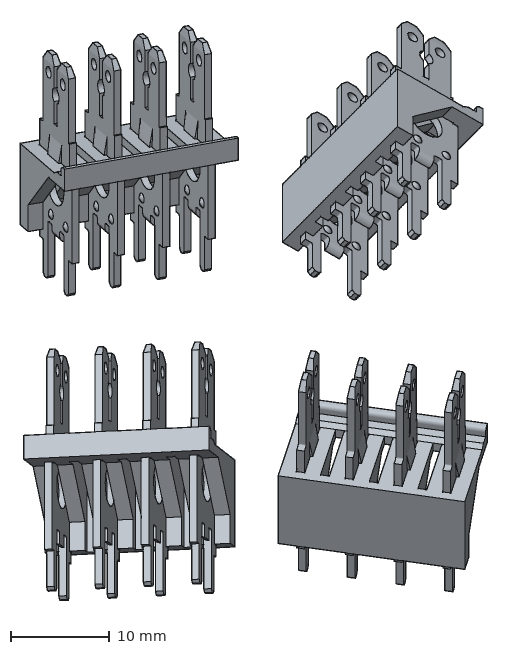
import cadquery as cq

total_height = 25.0
blade_count = 4
pitch = 5.05
half_span = pitch * (blade_count - 1) / 2

housing_length = 19.35
housing_bottom = 5.12
housing_top = 14.1
wall_right = 2.0
shelf_bottom = 13.05
brace_rise = 4.95
ramp_start = 8.35
ramp_end = 8.98
ledge_top = 14.45
lip_left = 10.02
lip_right = 10.9
lip_top = 15.5
lip_radius = 0.5

slot_left = 1.05
slot_right = 8.35
slot_width = 0.9

thickness = 0.8
mid_x = 4.98
body_left = slot_left
body_right = 8.32
shoulder_right = 8.98
shoulder_top = 13.0
body_top = 16.95
body_bottom = 4.0
corner_radius = 0.2

tines_width = 6.25
tines_left = mid_x - tines_width / 2
tines_right = mid_x + tines_width / 2
gap_width = 0.7
gap_bottom = 17.75
tip_height = 0.98
tip_inset = 0.8
tip_taper = 0.12
tine_hole_diameter = 1.2
tine_hole_z = 22.88
keyhole_diameter = 1.65
keyhole_z = 20.95

window_diameter = 4.0
window_z = 10.98
dome_radius = 0.52
dome_height = 0.25
dome_z = 7.48
dome_xs = (3.88, 7.5)

leg_width = 1.12
leg_lefts = (1.92, 6.98)
leg_chamfer = 0.32
crotch_z = 6.42
crotch_radius = 0.2
corner_search_reach = 0.02
tab_left = 4.08
tab_right = 5.95
tab_bottom = 5.1

wedge_top = 16.1
wedge_top_left = 3.48
wedge_top_right = 6.48
wedge_foot_left = 3.68
wedge_foot_right = 6.38
wedge_depth = 0.3


def box(x0, x1, y0, y1, z0, z1):
    """Block between two opposite corners."""
    return cq.Workplane("XY").box(x1 - x0, y1 - y0, z1 - z0, centered=False).translate((x0, y0, z0))


def plate(outline_thickness):
    """XZ sketch plane placed so that an extrusion of this thickness is centred on Y = 0."""
    return cq.Workplane("XZ", origin=(0, outline_thickness / 2, 0))


def cross_hole(x, z, diameter):
    """Cylinder along Y that drills through one blade."""
    return plate(thickness).center(x, z).circle(diameter / 2).extrude(thickness)


def make_housing():
    body = (
        plate(housing_length)
        .moveTo(0, housing_bottom)
        .lineTo(wall_right, housing_bottom)
        .lineTo(wall_right, shelf_bottom - brace_rise)
        .lineTo(wall_right + brace_rise, shelf_bottom)
        .lineTo(lip_right, shelf_bottom)
        .lineTo(lip_right, lip_top)
        .lineTo(lip_left + lip_radius, lip_top)
        .radiusArc((lip_left, lip_top - lip_radius), -lip_radius)
        .lineTo(lip_left, ledge_top)
        .lineTo(ramp_end, ledge_top)
        .lineTo(ramp_start, housing_top)
        .lineTo(0, housing_top)
        .close()
        .extrude(housing_length)
    )
    for i in range(2 * blade_count - 1):
        y = i * pitch / 2 - half_span
        body = body.cut(
            box(slot_left, slot_right, y - slot_width / 2, y + slot_width / 2, housing_bottom, housing_top)
        )
    return body


def make_tine(center_x):
    """One flat tine with a pyramid-like tip and a round hole."""
    width = (tines_width - gap_width) / 2
    straight_top = total_height - tip_height
    shank = box(
        center_x - width / 2, center_x + width / 2, -thickness / 2, thickness / 2, gap_bottom, straight_top
    )
    tip = (
        cq.Workplane("XY", origin=(center_x, 0, straight_top))
        .rect(width, thickness)
        .workplane(offset=tip_height)
        .rect(width - 2 * tip_inset, thickness - 2 * tip_taper)
        .loft(ruled=True)
    )
    return shank.union(tip).cut(cross_hole(center_x, tine_hole_z, tine_hole_diameter))


def make_leg(left):
    """Solder leg with both lower corners chamfered."""
    leg = box(left, left + leg_width, -thickness / 2, thickness / 2, 0, crotch_z)
    return leg.faces("<Z").edges("|Y").chamfer(leg_chamfer)


def make_body():
    """Flat middle of the blade, with its small inner corner rounds still to be added."""
    return (
        plate(thickness)
        .moveTo(body_left, body_bottom)
        .lineTo(leg_lefts[0] + leg_width, body_bottom)
        .lineTo(leg_lefts[0] + leg_width, crotch_z)
        .lineTo(leg_lefts[1], crotch_z)
        .lineTo(leg_lefts[1], body_bottom)
        .lineTo(shoulder_right, body_bottom)
        .lineTo(shoulder_right, shoulder_top)
        .lineTo(body_right, shoulder_top)
        .lineTo(body_right, body_top)
        .lineTo(tines_right, body_top)
        .lineTo(tines_right, gap_bottom)
        .lineTo(tines_left, gap_bottom)
        .lineTo(tines_left, body_top)
        .lineTo(body_left, body_top)
        .close()
        .extrude(thickness)
    )


def make_tab():
    """Tab between the legs whose lower front edge is rolled over the full thickness."""
    return (
        cq.Workplane("YZ", origin=(tab_left, 0, 0))
        .moveTo(thickness / 2, crotch_z)
        .lineTo(-thickness / 2, crotch_z)
        .lineTo(-thickness / 2, tab_bottom + thickness)
        .radiusArc((thickness / 2, tab_bottom), -thickness)
        .close()
        .extrude(tab_right - tab_left)
    )


def make_wedge():
    """Locking wedge on the -Y face: flush at its top, standing out at its foot."""
    front = -thickness / 2
    trapezoid = (
        plate(thickness)
        .polyline([
            (wedge_top_left, wedge_top),
            (wedge_top_right, wedge_top),
            (wedge_foot_right, housing_top),
            (wedge_foot_left, housing_top),
        ])
        .close()
        .extrude(thickness + wedge_depth)
    )
    slope = (
        cq.Workplane("YZ")
        .polyline([(front, wedge_top), (front, housing_top), (front - wedge_depth, housing_top)])
        .close()
        .extrude(body_right)
    )
    return trapezoid.intersect(slope)


def make_dome(x):
    """Shallow spherical cap on the -Y face."""
    sphere_radius = (dome_radius ** 2 + dome_height ** 2) / (2 * dome_height)
    front = -thickness / 2
    return (
        cq.Workplane("XY", origin=(x, front, dome_z))
        .lineTo(dome_radius, 0)
        .radiusArc((0, -dome_height), sphere_radius)
        .close()
        .revolve(360, (0, 0), (0, 1))
    )


def round_corner(blade, x, z, radius):
    """Fillet the blade edge that runs along Y through the given X and Z."""
    reach = corner_search_reach
    corner = cq.selectors.BoxSelector(
        (x - reach, -thickness, z - reach), (x + reach, thickness, z + reach)
    )
    return blade.edges("|Y").edges(corner).fillet(radius)


def make_blade(y):
    """One complete terminal blade, centred on the given Y."""
    blade = make_body().union(make_tab())
    tine_offset = (tines_width + gap_width) / 4
    for side in (-1, 1):
        blade = blade.union(make_tine(mid_x + side * tine_offset))
    for left in leg_lefts:
        blade = blade.union(make_leg(left))
    blade = blade.clean()

    blade = round_corner(blade, tines_left, body_top, corner_radius)
    blade = round_corner(blade, leg_lefts[0], body_bottom, corner_radius)
    for x in (leg_lefts[0] + leg_width, tab_left, tab_right, leg_lefts[1]):
        blade = round_corner(blade, x, crotch_z, crotch_radius)

    blade = blade.cut(cross_hole(mid_x, keyhole_z, keyhole_diameter))
    blade = blade.cut(cross_hole(mid_x, window_z, window_diameter))
    blade = blade.union(make_wedge())
    for x in dome_xs:
        blade = blade.union(make_dome(x))
    return blade.translate((0, y, 0))


housing = make_housing()
blades = [make_blade(i * pitch - half_span) for i in range(blade_count)]

result = cq.Compound.makeCompound([housing.val(), *[blade.solids().val() for blade in blades]])